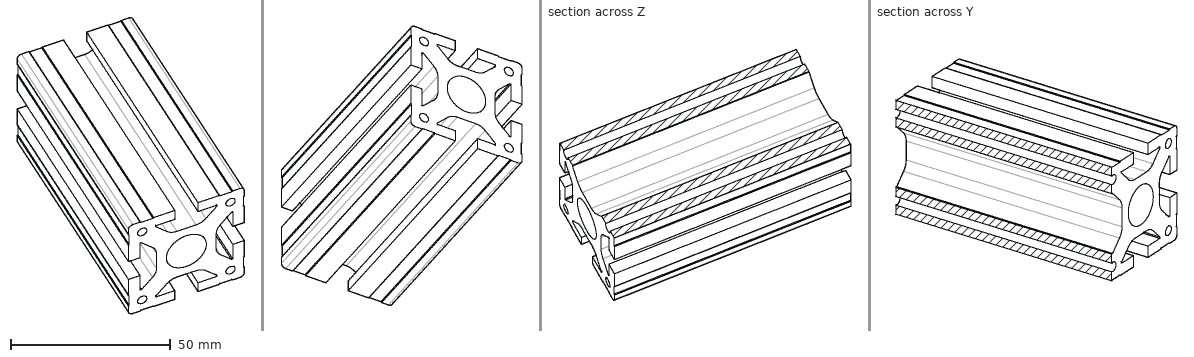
import cadquery as cq

length = 82.0
side = 40.0
corner_radius = 1.5

slot_opening = 8.0
lip_thickness = 4.0
slot_inner_width = 21.0
slot_end_wall = 0.5
core_width = 20.6
core_fillet_radius = 4.8

groove_outer_edge = 16.0
groove_inner_edge = 11.3
groove_depth = 0.25
groove_wall_run = 0.25

bore_diameter = 13.8
corner_hole_diameter = 3.2
corner_hole_spacing = 30.5

SIDE_ANGLES = (0, 90, 180, 270)
half_side = side / 2


def prism(points):
    """Full-length prism along X from (Y, Z) outline points."""
    return cq.Workplane("YZ").polyline(points).close().extrude(length)


def around_axis(shape, angle):
    """Shape turned about the lengthwise axis of the profile."""
    return shape.rotate((0, 0, 0), (1, 0, 0), angle)


def make_bar():
    bar = cq.Workplane("YZ").rect(side, side).extrude(length)
    return bar.edges("|X").fillet(corner_radius)


def make_slot():
    """T-slot of the +Z side: narrow mouth and a cavity with 45-degree flanks."""
    half_opening = slot_opening / 2
    half_inner = slot_inner_width / 2
    lip_z = half_side - lip_thickness
    flank_top_z = lip_z - slot_end_wall
    floor_z = core_width / 2
    half_floor = half_inner - (flank_top_z - floor_z)

    cavity = prism([
        (-half_inner, lip_z),
        (-half_inner, flank_top_z),
        (-half_floor, floor_z),
        (half_floor, floor_z),
        (half_inner, flank_top_z),
        (half_inner, lip_z),
    ])
    cavity = cavity.faces("<Z").edges("|X").fillet(core_fillet_radius)

    mouth = prism([
        (-half_opening, lip_z),
        (half_opening, lip_z),
        (half_opening, half_side),
        (-half_opening, half_side),
    ])
    return cavity.union(mouth)


def make_groove(direction):
    """Relief groove on the +Z side, at +Y (direction 1) or -Y (direction -1)."""
    bottom_z = half_side - groove_depth
    return prism([
        (direction * groove_inner_edge, half_side),
        (direction * (groove_inner_edge + groove_wall_run), bottom_z),
        (direction * (groove_outer_edge - groove_wall_run), bottom_z),
        (direction * groove_outer_edge, half_side),
    ])


def make_holes():
    """Central bore and one small hole in each corner."""
    bore = cq.Workplane("YZ").circle(bore_diameter / 2).extrude(length)
    corner_holes = (
        cq.Workplane("YZ")
        .rect(corner_hole_spacing, corner_hole_spacing, forConstruction=True)
        .vertices()
        .circle(corner_hole_diameter / 2)
        .extrude(length)
    )
    return bore.union(corner_holes)


def make_profile():
    profile = make_bar().cut(make_holes())
    slot = make_slot()
    grooves = [make_groove(direction) for direction in (-1, 1)]
    for angle in SIDE_ANGLES:
        profile = profile.cut(around_axis(slot, angle))
        for groove in grooves:
            profile = profile.cut(around_axis(groove, angle))
    return profile.translate((-length / 2, 0, 0))


result = make_profile()